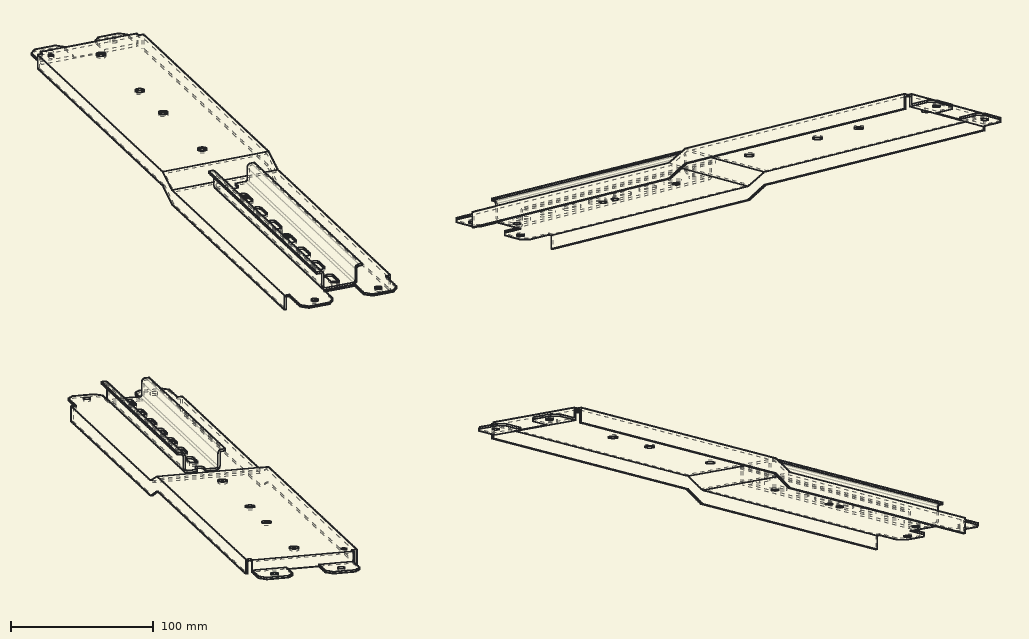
import cadquery as cq

LENGTH = 466.0
WIDTH = 81.5
SHEET = 1.5

LOW_TOP = 11.0
RAISED_TOP = 18.5
RAISED_FLANGE_BOTTOM = 8.0
JOGGLE_START = 236.0
JOGGLE_END = 251.5

TAB_LENGTH = 20.0
TAB_WIDTH = 25.0
TAB_CHAMFER = 4.5
TAB_SPACING = 49.0
TAB_HOLE_DIAMETER = 5.0
TAB_HOLE_INSET = 8.0
END_WIDTH = TAB_SPACING + TAB_WIDTH
FLANGE_INSET = 23.5

RAISED_HOLE_DIAMETER = 6.5
RAISED_HOLE_X = [41.0, 106.5, 147.0, 213.0]
RAIL_HOLE_DIAMETER = 5.0
RAIL_HOLE_X = [284.0, 343.0, 354.5, 438.0]
MARKER_HOLE_DIAMETER = 3.5
MARKER_HOLE_X = 28.0
MARKER_HOLE_Y = -32.5

RAIL_START = 263.0
RAIL_END = LENGTH - TAB_LENGTH
RAIL_WIDTH = 35.0
RAIL_BASE_WIDTH = 27.0
RAIL_HEIGHT = 15.0
RAIL_BEND_INSIDE = 1.5
RAIL_BEND_OUTSIDE = RAIL_BEND_INSIDE + SHEET
SLOT_COUNT = 8
SLOT_LENGTH = 15.0
SLOT_WIDTH = 6.0
FIRST_SLOT_X = RAIL_START
LAST_SLOT_X = 434.0
SLOT_PITCH = (LAST_SLOT_X - FIRST_SLOT_X) / (SLOT_COUNT - 1)


def box(x_start, x_end, width, z_bottom, z_top):
    """Block centred on Y."""
    size = (x_end - x_start, width, z_top - z_bottom)
    block = cq.Workplane("XY").box(*size, centered=(False, True, False))
    return block.translate((x_start, 0, z_bottom))


def joggled_strip(raised_bottom, low_bottom, width):
    """Strip whose top follows the joggle, between the ends of the side flanges."""
    right = LENGTH - FLANGE_INSET
    outline = [
        (FLANGE_INSET, RAISED_TOP),
        (JOGGLE_START, RAISED_TOP),
        (JOGGLE_END, LOW_TOP),
        (right, LOW_TOP),
        (right, low_bottom),
        (JOGGLE_END, low_bottom),
        (JOGGLE_START, raised_bottom),
        (FLANGE_INSET, raised_bottom),
    ]
    return cq.Workplane("XZ").polyline(outline).close().extrude(width / 2, both=True)


def make_tab(y):
    """Tab at the left end, with two chamfered corners and a hole."""
    tab = cq.Workplane("XY").box(TAB_LENGTH + SHEET, TAB_WIDTH, SHEET, centered=(False, True, False))
    tab = tab.edges("|Z and <X").chamfer(TAB_CHAMFER)
    hole = cq.Workplane("XY").center(TAB_HOLE_INSET, 0).circle(TAB_HOLE_DIAMETER / 2).extrude(SHEET)
    tab = tab.cut(hole)
    return tab.translate((0, y, LOW_TOP - SHEET))


def drill(body, x, y, diameter):
    """Vertical hole through the whole height of the plate."""
    return body.cut(cq.Workplane("XY").center(x, y).circle(diameter / 2).extrude(RAISED_TOP))


def make_plate():
    web = joggled_strip(RAISED_TOP - SHEET, LOW_TOP - SHEET, WIDTH)
    full_channel = joggled_strip(RAISED_FLANGE_BOTTOM, 0, WIDTH)
    space_between = joggled_strip(RAISED_FLANGE_BOTTOM, 0, WIDTH - 2 * SHEET)
    plate = web.union(full_channel.cut(space_between))

    plate = plate.union(box(TAB_LENGTH, FLANGE_INSET, END_WIDTH, RAISED_TOP - SHEET, RAISED_TOP))
    plate = plate.union(box(TAB_LENGTH, TAB_LENGTH + SHEET, END_WIDTH, LOW_TOP - SHEET, RAISED_TOP))
    plate = plate.union(
        box(LENGTH - FLANGE_INSET, LENGTH - TAB_LENGTH, END_WIDTH, LOW_TOP - SHEET, LOW_TOP)
    )

    middle_bottom = (LENGTH / 2, 0, 0)
    middle_top = (LENGTH / 2, 0, RAISED_TOP)
    for y in (-TAB_SPACING / 2, TAB_SPACING / 2):
        tab = make_tab(y)
        plate = plate.union(tab).union(tab.rotate(middle_bottom, middle_top, 180))

    for x in RAISED_HOLE_X:
        plate = drill(plate, x, 0, RAISED_HOLE_DIAMETER)
    for x in RAIL_HOLE_X:
        plate = drill(plate, x, 0, RAIL_HOLE_DIAMETER)
    return drill(plate, MARKER_HOLE_X, MARKER_HOLE_Y, MARKER_HOLE_DIAMETER).clean()


def make_rail():
    rail_middle = (RAIL_START + RAIL_END) / 2
    wall_outside = RAIL_BASE_WIDTH / 2
    wall_inside = wall_outside - SHEET
    lip_bottom = RAIL_HEIGHT - SHEET

    def bar(width, z_bottom, z_top):
        return box(RAIL_START, RAIL_END, width, LOW_TOP + z_bottom, LOW_TOP + z_top)

    hat = bar(RAIL_BASE_WIDTH, 0, RAIL_HEIGHT).union(bar(RAIL_WIDTH, lip_bottom, RAIL_HEIGHT))
    rail = hat.cut(bar(2 * wall_inside, SHEET, RAIL_HEIGHT))

    for y, z, radius in (
        (wall_outside, 0, RAIL_BEND_OUTSIDE),
        (wall_inside, SHEET, RAIL_BEND_INSIDE),
        (wall_outside, lip_bottom, RAIL_BEND_INSIDE),
        (wall_inside, RAIL_HEIGHT, RAIL_BEND_OUTSIDE),
    ):
        for corner_y in (-y, y):
            corner = cq.selectors.NearestToPointSelector((rail_middle, corner_y, LOW_TOP + z))
            rail = rail.edges("|X").edges(corner).fillet(radius)

    for index in range(SLOT_COUNT):
        x = FIRST_SLOT_X + index * SLOT_PITCH
        slot = cq.Workplane("XY").center(x, 0).slot2D(SLOT_LENGTH, SLOT_WIDTH).extrude(SHEET)
        rail = rail.cut(slot.translate((0, 0, LOW_TOP)))
    return rail


plate = make_plate()
rail = make_rail()
result = cq.Compound.makeCompound([plate.val(), rail.val()])